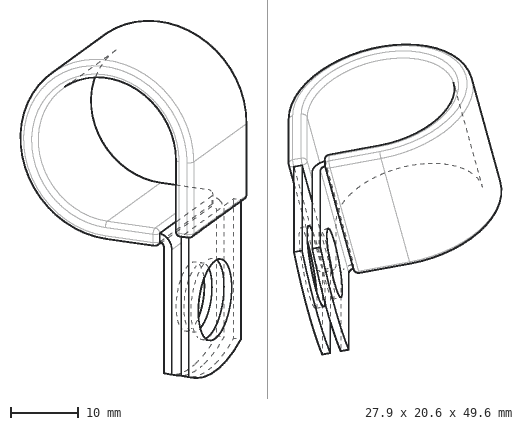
import cadquery as cq
import math

total_height = 49.6
loop_diameter = 27.85
cushion_width = 20.65

cushion_thickness = 2.8
edge_radius = 0.75
upright_leg_length = 11.9
lower_leg_length = 8.45

strap_thickness = 1.25
strap_width = 19.0
bend_inner_radius = 1.0
tab_spacing = 2.8
inner_hole_diameter = 10.3
outer_hole_diameter = 12.1
hole_drop = 24.55
tip_sagitta = 2.1
strap_overlap = 2.5

outer_radius = loop_diameter / 2
inner_radius = outer_radius - cushion_thickness
mid_radius = outer_radius - cushion_thickness / 2
tab_bottom = outer_radius - total_height
outer_tab_x = mid_radius
inner_tab_x = outer_tab_x - tab_spacing


def extrude_centred(profile, width):
    """Extrude an XZ profile by equal amounts to both sides of Y = 0."""
    return profile.extrude(width / 2, both=True)


def make_cushion():
    """Three-quarter ring with a downward leg and a leg along +X."""
    diagonal = math.sqrt(0.5)
    profile = (
        cq.Workplane("XZ")
        .moveTo(outer_radius, -upright_leg_length)
        .lineTo(outer_radius, 0)
        .threePointArc((-outer_radius * diagonal, outer_radius * diagonal), (0, -outer_radius))
        .lineTo(lower_leg_length, -outer_radius)
        .lineTo(lower_leg_length, -inner_radius)
        .lineTo(0, -inner_radius)
        .threePointArc((-inner_radius * diagonal, inner_radius * diagonal), (inner_radius, 0))
        .lineTo(inner_radius, -upright_leg_length)
        .close()
    )
    return extrude_centred(profile, cushion_width).edges().fillet(edge_radius)


def make_outer_tab():
    """Straight strap below the upright leg, rooted inside the cushion."""
    tab_top = strap_overlap - upright_leg_length
    profile = (
        cq.Workplane("XZ")
        .moveTo(outer_tab_x, (tab_top + tab_bottom) / 2)
        .rect(strap_thickness, tab_top - tab_bottom)
    )
    return extrude_centred(profile, strap_width)


def make_inner_tab():
    """Strap leaving the lower leg and bending down beside the outer tab."""
    half_thickness = strap_thickness / 2
    left = inner_tab_x - half_thickness
    right = inner_tab_x + half_thickness
    upper = -mid_radius + half_thickness
    lower = -mid_radius - half_thickness
    root = lower_leg_length - strap_overlap
    bend_outer_radius = bend_inner_radius + strap_thickness
    bend_x = left - bend_inner_radius
    bend_z = lower - bend_inner_radius
    profile = (
        cq.Workplane("XZ")
        .moveTo(root, upper)
        .lineTo(bend_x, upper)
        .radiusArc((right, bend_z), bend_outer_radius)
        .lineTo(right, tab_bottom)
        .lineTo(left, tab_bottom)
        .lineTo(left, bend_z)
        .radiusArc((bend_x, lower), -bend_inner_radius)
        .lineTo(root, lower)
        .close()
    )
    return extrude_centred(profile, strap_width)


def make_tab_outline():
    """Solid across both tabs that trims their lower ends to a shallow arc."""
    half_width = strap_width / 2
    shoulder = tab_bottom + tip_sagitta
    return (
        cq.Workplane("YZ")
        .moveTo(-half_width, outer_radius)
        .lineTo(-half_width, shoulder)
        .threePointArc((0, tab_bottom), (half_width, shoulder))
        .lineTo(half_width, outer_radius)
        .close()
        .extrude(loop_diameter)
    )


def make_bolt_hole(diameter):
    """Cylinder along X, long enough to pass through either tab."""
    return (
        cq.Workplane("YZ")
        .center(0, -hole_drop)
        .circle(diameter / 2)
        .extrude(loop_diameter)
    )


outer_tab = make_outer_tab().cut(make_bolt_hole(outer_hole_diameter))
inner_tab = make_inner_tab().cut(make_bolt_hole(inner_hole_diameter))
tabs = outer_tab.union(inner_tab).intersect(make_tab_outline())
result = make_cushion().union(tabs)